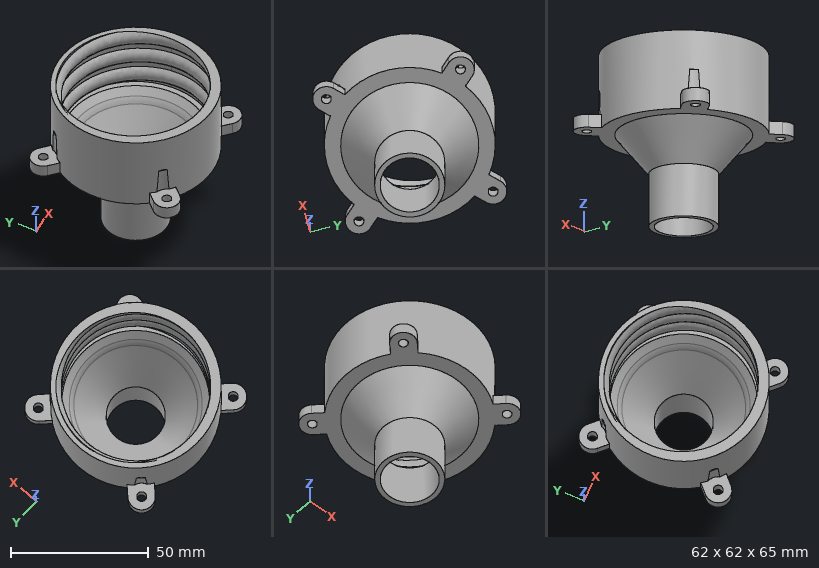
import cadquery as cq
import math

total_height = 65.0
socket_radius = 62.0 / 2
socket_bottom = 35.0
tube_radius = 25.4 / 2
tube_bore_radius = 21.4 / 2
tube_top = 20.0
funnel_top_radius = 25.0

bore_radius = 58.0 / 2
bore_floor = 40.0
seat_radius = 26.8
seat_drop = 2.65
funnel_mouth_radius = 22.4
funnel_mouth_height = socket_bottom

thread_pitch = 9.0
ridge_height = 2.0
ridge_width = 6.7
ridge_angle_at_rim = 265.0
turns_below_rim = 4
turns_above_rim = 1

lug_count = 4
lug_radius = 5.0
lug_thickness = 5.0
lug_center_distance = 35.35
lug_hole_diameter = 3.5
clearance_height = 10.0
clearance_top_radius = 4.7
lug_top = socket_bottom + lug_thickness


def lug_points():
    return cq.Workplane("XY").polarArray(lug_center_distance, 45, 360, lug_count)


def outer_body():
    return (
        cq.Workplane("XZ")
        .lineTo(tube_radius, 0)
        .lineTo(tube_radius, tube_top)
        .lineTo(funnel_top_radius, socket_bottom)
        .lineTo(socket_radius, socket_bottom)
        .lineTo(socket_radius, total_height)
        .lineTo(0, total_height)
        .close()
        .revolve(360, (0, 0), (0, 1))
    )


def funnel_cavity():
    """Outlet bore, funnel, rounded throat and 45 degree seat below the bore floor."""
    throat_radius = seat_radius - seat_drop
    return (
        cq.Workplane("XZ")
        .moveTo(0, bore_floor)
        .lineTo(seat_radius, bore_floor)
        .lineTo(throat_radius, bore_floor - seat_drop)
        .tangentArcPoint((funnel_mouth_radius, funnel_mouth_height), relative=False)
        .lineTo(tube_bore_radius, tube_top)
        .lineTo(tube_bore_radius, 0)
        .lineTo(0, 0)
        .close()
        .revolve(360, (0, 0), (0, 1))
    )


def thread_ridge():
    """Round rod wound along a helix; its inner side bulges into the bore."""
    rod_radius = (ridge_width**2 / 4 + ridge_height**2) / (2 * ridge_height)
    helix_radius = bore_radius - ridge_height + rod_radius
    turns = turns_below_rim + turns_above_rim
    helix = cq.Wire.makeHelix(thread_pitch, turns * thread_pitch, helix_radius, lefthand=True)
    rod = (
        cq.Workplane("XZ")
        .center(helix_radius, 0)
        .circle(rod_radius)
        .sweep(cq.Workplane(obj=helix), isFrenet=True)
    )
    start_height = total_height - turns_below_rim * thread_pitch
    return rod.rotate((0, 0, 0), (0, 0, 1), ridge_angle_at_rim).translate((0, 0, start_height))


def threaded_bore():
    bore = (
        cq.Workplane("XY")
        .workplane(offset=bore_floor)
        .circle(bore_radius)
        .extrude(total_height - bore_floor)
    )
    return bore.cut(thread_ridge())


def lugs():
    inner_end = (bore_radius + socket_radius) / 2
    arm_length = lug_center_distance - inner_end
    arm = cq.Workplane("XY").box(
        arm_length, 2 * lug_radius, lug_thickness, centered=(False, True, False)
    ).translate((inner_end, 0, socket_bottom))
    pads = lug_points().circle(lug_radius).extrude(lug_thickness).translate((0, 0, socket_bottom))
    for index in range(lug_count):
        pads = pads.union(arm.rotate((0, 0, 0), (0, 0, 1), 45 + index * 360 / lug_count))
    return pads


def lug_holes():
    holes = lug_points().circle(lug_hole_diameter / 2).extrude(lug_thickness)
    return holes.translate((0, 0, socket_bottom))


def tool_clearances():
    taper = math.degrees(math.atan((lug_radius - clearance_top_radius) / clearance_height))
    cones = lug_points().circle(lug_radius).extrude(clearance_height, taper=taper)
    return cones.translate((0, 0, lug_top))


result = (
    outer_body()
    .union(lugs())
    .cut(funnel_cavity())
    .cut(threaded_bore())
    .cut(lug_holes())
    .cut(tool_clearances())
)